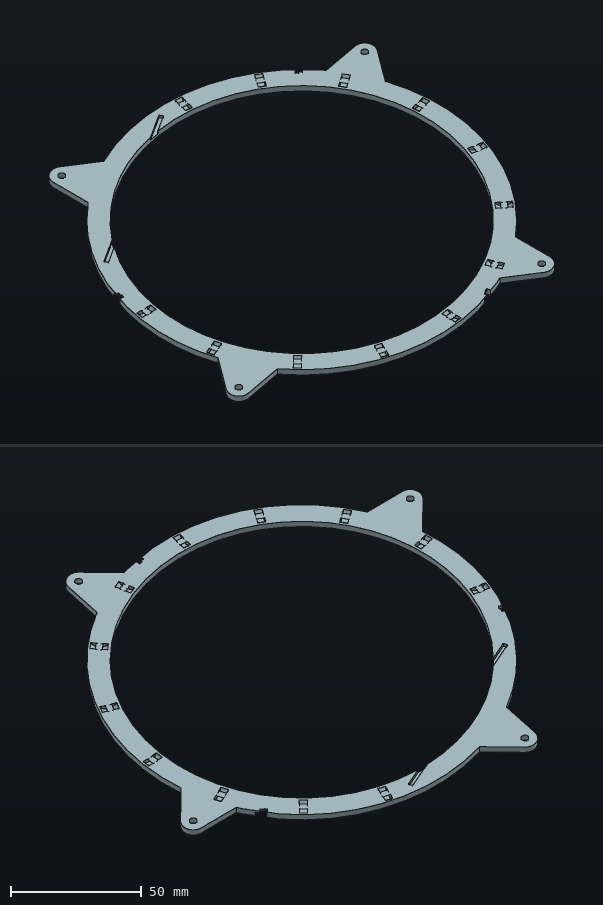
import cadquery as cq
import math

THICKNESS = 3.0
OUTER_RADIUS = 82.0
BORE_DIAMETER = 146.0

LUG_HOLE_OFFSET = 66.9
LUG_ANGLES = (45, 135, 225, 315)
LUG_HOLE_DIAMETER = 3.0
LUG_TIP_RADIUS = 5.0
LUG_HALF_ANGLE = 25.0
LUG_ROOT_DISTANCE = 77.0

FLAT_DISTANCE = 81.6
FLAT_ANGLES = (30, 150, 270)
NOTCH_START = -0.7
NOTCH_STEP = 0.8
NOTCH_END = 2.1
NOTCH_SHALLOW_DEPTH = 1.1
NOTCH_FULL_DEPTH = 1.6
POCKET_START = -2.3
POCKET_DEPTH = 6.4
POCKET_ROOF_THICKNESS = 1.1

TIE_PITCH_RADIUS = 77.5
TIE_WIDTH = 3.1
TIE_OUTER_RADIUS = 3.8
TIE_INNER_RADIUS = 2.1
TIE_CENTRE_HEIGHT = 1.6
TIE_START_ANGLE = 90.0
TIE_CLOCKWISE_COUNT = 7
TIE_CLOCKWISE_STEP = 24.3
TIE_COUNTER_COUNT = 4
TIE_COUNTER_STEP = 23.8

GROOVE_ANGLE = 225.0
GROOVE_DISTANCE = 66.2
GROOVE_WIDTH = 1.8
GROOVE_LENGTH = 82.6
GROOVE_DEPTH = 1.5


def turn(shape, angle):
    """Rotate a shape about the Z axis."""
    return shape.rotate((0, 0, 0), (0, 0, 1), angle)


def block(x_range, y_range, z_range):
    """Box given by its limits along X, Y and Z."""
    lows, highs = zip(x_range, y_range, z_range)
    sizes = [high - low for low, high in zip(lows, highs)]
    return cq.Workplane("XY").box(*sizes, centered=False).translate(lows)


def make_lug():
    """Tapered lug pointing along +X, with a round tip tangent to its sides."""
    centre = LUG_HOLE_OFFSET * math.sqrt(2)
    slope = math.radians(LUG_HALF_ANGLE)
    tangent_x = centre + LUG_TIP_RADIUS * math.sin(slope)
    tangent_y = LUG_TIP_RADIUS * math.cos(slope)
    root_y = tangent_y + (tangent_x - LUG_ROOT_DISTANCE) * math.tan(slope)
    return (
        cq.Workplane("XY")
        .moveTo(LUG_ROOT_DISTANCE, -root_y)
        .lineTo(tangent_x, -tangent_y)
        .threePointArc((centre + LUG_TIP_RADIUS, 0), (tangent_x, tangent_y))
        .lineTo(LUG_ROOT_DISTANCE, root_y)
        .close()
        .extrude(THICKNESS)
    )


def make_rim_cut():
    """Flat on the +X side of the rim, with its stepped notch and the pocket under it."""
    beyond = OUTER_RADIUS + 1.6
    full_height = (0, THICKNESS)
    pocket_height = (0, THICKNESS - POCKET_ROOF_THICKNESS)
    flat = block((FLAT_DISTANCE, beyond), (-OUTER_RADIUS / 2, OUTER_RADIUS / 2), full_height)
    shallow = block((FLAT_DISTANCE - NOTCH_SHALLOW_DEPTH, beyond), (NOTCH_START, NOTCH_END), full_height)
    deep = block((FLAT_DISTANCE - NOTCH_FULL_DEPTH, beyond), (NOTCH_STEP, NOTCH_END), full_height)
    pocket = block((FLAT_DISTANCE - POCKET_DEPTH, beyond), (POCKET_START, NOTCH_END), pocket_height)
    return flat.union(shallow).union(deep).union(pocket)


def make_tie_channel():
    """Part of an annulus in the radial plane, dipping below the upper face on the +X side."""
    return (
        cq.Workplane("XZ")
        .center(TIE_PITCH_RADIUS, THICKNESS + TIE_CENTRE_HEIGHT)
        .circle(TIE_OUTER_RADIUS)
        .circle(TIE_INNER_RADIUS)
        .extrude(TIE_WIDTH / 2, both=True)
    )


def make_groove():
    """Straight groove lying tangentially on the +X side."""
    return block(
        (GROOVE_DISTANCE - GROOVE_WIDTH / 2, GROOVE_DISTANCE + GROOVE_WIDTH / 2),
        (-GROOVE_LENGTH / 2, GROOVE_LENGTH / 2),
        (THICKNESS - GROOVE_DEPTH, THICKNESS),
    )


body = cq.Workplane("XY").circle(OUTER_RADIUS).extrude(THICKNESS)
for angle in FLAT_ANGLES:
    body = body.cut(turn(make_rim_cut(), angle))
for angle in LUG_ANGLES:
    body = body.union(turn(make_lug(), angle))
body = body.cut(cq.Workplane("XY").circle(BORE_DIAMETER / 2).extrude(THICKNESS))

screw_holes = (
    cq.Workplane("XY")
    .rect(2 * LUG_HOLE_OFFSET, 2 * LUG_HOLE_OFFSET, forConstruction=True)
    .vertices()
    .circle(LUG_HOLE_DIAMETER / 2)
    .extrude(THICKNESS)
)
body = body.cut(screw_holes)

tie_angles = [TIE_START_ANGLE - step * TIE_CLOCKWISE_STEP for step in range(TIE_CLOCKWISE_COUNT + 1)]
tie_angles += [TIE_START_ANGLE + step * TIE_COUNTER_STEP for step in range(1, TIE_COUNTER_COUNT + 1)]
for angle in tie_angles:
    body = body.cut(turn(make_tie_channel(), angle))

result = body.cut(turn(make_groove(), GROOVE_ANGLE))